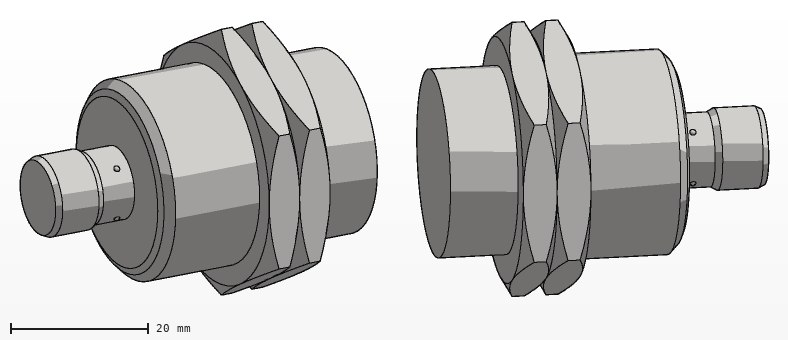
import cadquery as cq
import math

total_length = 48.5
rear_y = total_length / 2
tip_y = -total_length / 2

head_radius = 13.75
head_length = 10.0

nut_across_flats = 36.0
nut_thickness = 5.0
nut_count = 2
nut_chamfer_angle = 30.0

barrel_radius = 15.0
bevel_radius = 13.73
face_radius = 12.7
bevel_length = barrel_radius - bevel_radius
edge_length = 0.5

neck_radius = 5.5
neck_length = 5.1
shoulder_length = 1.0
collar_radius = 6.0
collar_length = 5.95
tip_radius = 5.6
tip_length = 0.9

bump_count = 4
bump_start_angle = 45.0
bump_radius = 0.5
bump_sink = 0.15
bump_setback = 2.1

nut_rear_y = rear_y - head_length
barrel_rear_y = nut_rear_y - nut_count * nut_thickness
tip_chamfer_y = tip_y + tip_length
collar_rear_y = tip_chamfer_y + collar_length
neck_front_y = collar_rear_y + shoulder_length
face_y = neck_front_y + neck_length
bevel_front_y = face_y + edge_length
bevel_rear_y = bevel_front_y + bevel_length


def revolve_about_y(points):
    profile = cq.Workplane("XY").polyline(points).close()
    return profile.revolve(360, (0, 0, 0), (0, 1, 0))


def make_turned_body():
    return revolve_about_y([
        (0, rear_y),
        (head_radius, rear_y),
        (head_radius, barrel_rear_y),
        (barrel_radius, barrel_rear_y),
        (barrel_radius, bevel_rear_y),
        (bevel_radius, bevel_front_y),
        (face_radius, face_y),
        (neck_radius, face_y),
        (neck_radius, neck_front_y),
        (collar_radius, collar_rear_y),
        (collar_radius, tip_chamfer_y),
        (tip_radius, tip_y),
        (0, tip_y),
    ])


def make_nut(back_y):
    """Hexagon with corners on +Z and -Z, bevelled by a cone on both faces."""
    flat_radius = nut_across_flats / 2
    corner_radius = flat_radius / math.cos(math.radians(30))
    chamfer_height = (corner_radius - flat_radius) * math.tan(math.radians(nut_chamfer_angle))
    front_y = back_y - nut_thickness
    hexagon = (
        cq.Workplane("XZ", origin=(0, back_y, 0))
        .transformed(rotate=(0, 0, 90))
        .polygon(6, 2 * corner_radius)
        .extrude(nut_thickness)
    )
    bevel_envelope = revolve_about_y([
        (0, back_y),
        (flat_radius, back_y),
        (corner_radius, back_y - chamfer_height),
        (corner_radius, front_y + chamfer_height),
        (flat_radius, front_y),
        (0, front_y),
    ])
    return hexagon.intersect(bevel_envelope)


def make_bump(angle):
    """Ball sunk partly into the neck surface at the given angle about Y."""
    ball = cq.Workplane("XY", origin=(0, face_y - bump_setback, neck_radius - bump_sink)).sphere(bump_radius)
    return ball.rotate((0, 0, 0), (0, 1, 0), angle)


result = make_turned_body()

for index in range(nut_count):
    result = result.union(make_nut(nut_rear_y - index * nut_thickness))

for index in range(bump_count):
    bump_angle = bump_start_angle + index * 360 / bump_count
    result = result.union(make_bump(bump_angle))